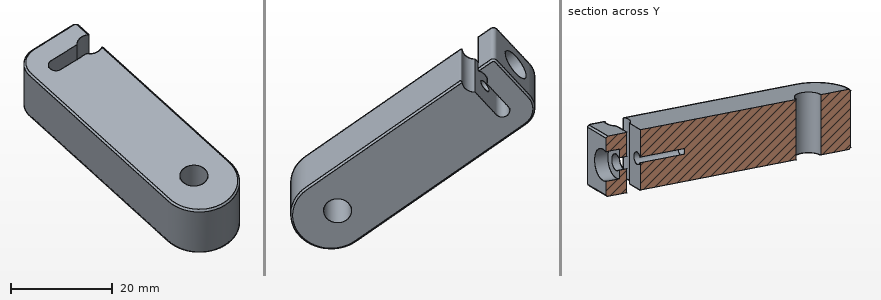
import cadquery as cq
import math

length = 55.55
width = 15.9
height = 12.7
end_radius = width / 2
corner_radius = 4.8
back_corner_radius = 0.9
rim_chamfer = 0.4

pivot_diameter = 5.5
pivot_x = 45.95

slot_x = 6.3
slot_width = 3.0
slot_depth = 11.85
seat_diameter = 5.0
seat_depth = 1.7
lip_radius = 0.3

screw_y = width - 6.8
screw_z = height / 2
head_diameter = 6.55
head_depth = 3.0
clearance_diameter = 3.4
pilot_diameter = 2.55
pilot_end_x = 17.8
drill_point_angle = 118.0


def make_body():
    """Bar with a full round at +X and two rounded corners at -X."""
    bar = (
        cq.Workplane("XY")
        .lineTo(length - end_radius, 0)
        .threePointArc((length, end_radius), (length - end_radius, width))
        .lineTo(0, width)
        .close()
        .extrude(height)
    )
    bar = bar.edges(cq.selectors.NearestToPointSelector((0, 0, height / 2))).fillet(corner_radius)
    bar = bar.edges(cq.selectors.NearestToPointSelector((0, width, height / 2))).fillet(back_corner_radius)
    return bar.faces("<Z or >Z").edges().chamfer(rim_chamfer)


def make_slot():
    """Round-bottomed slot, its round seat and the rounded lips of its mouth."""
    slot_end_y = width - slot_depth + slot_width / 2
    seat_y = width - seat_depth
    seat_radius = seat_diameter / 2
    seat = cq.Workplane("XY").center(slot_x, seat_y).circle(seat_radius).extrude(height)
    channel = (
        cq.Workplane("XY")
        .center(slot_x, (slot_end_y + seat_y) / 2)
        .rect(slot_width, seat_y - slot_end_y)
        .extrude(height)
    )
    channel_end = cq.Workplane("XY").center(slot_x, slot_end_y).circle(slot_width / 2).extrude(height)

    lip_y = width - lip_radius
    center_distance = seat_radius + lip_radius
    lip_offset = math.sqrt(center_distance**2 - (lip_y - seat_y) ** 2)
    touch_ratio = seat_radius / center_distance
    touch_x = lip_offset * touch_ratio
    touch_y = seat_y + (lip_y - seat_y) * touch_ratio
    mouth = (
        cq.Workplane("XY")
        .moveTo(slot_x - lip_offset, width)
        .radiusArc((slot_x - touch_x, touch_y), lip_radius)
        .lineTo(slot_x + touch_x, touch_y)
        .radiusArc((slot_x + lip_offset, width), lip_radius)
        .close()
        .extrude(height)
    )
    return seat.union(channel).union(channel_end).union(mouth)


def make_screw_hole():
    """Head bore, clearance hole up to the slot and a pointed pilot hole beyond it."""
    pilot_radius = pilot_diameter / 2
    point_length = pilot_radius / math.tan(math.radians(drill_point_angle / 2))
    profile = (
        cq.Workplane("XY", origin=(0, screw_y, screw_z))
        .lineTo(0, head_diameter / 2)
        .lineTo(head_depth, head_diameter / 2)
        .lineTo(head_depth, clearance_diameter / 2)
        .lineTo(slot_x, clearance_diameter / 2)
        .lineTo(slot_x, pilot_radius)
        .lineTo(pilot_end_x, pilot_radius)
        .lineTo(pilot_end_x + point_length, 0)
        .close()
    )
    return profile.revolve(360, (0, 0, 0), (1, 0, 0))


pivot_hole = cq.Workplane("XY").center(pivot_x, width / 2).circle(pivot_diameter / 2).extrude(height)

result = make_body().cut(pivot_hole).cut(make_slot()).cut(make_screw_hole())